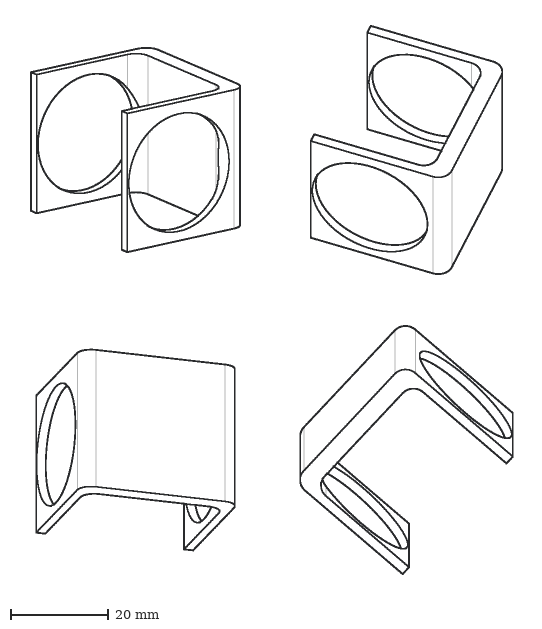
import cadquery as cq

width = 34.0
depth = 30.0
height = 30.0

side_wall = 2.0
back_wall = 4.0
corner_radius = 3.0

hole_diameter = 25.4
hole_from_front = 13.07
hole_from_bottom = 14.77


def block_with_round_back(block_width, block_depth):
    """Upright block from the open front (Y = 0), with its two rear edges rounded."""
    block = cq.Workplane("XY").box(block_width, block_depth, height, centered=(True, False, False))
    return block.edges("|Z and >Y").fillet(corner_radius)


def side_hole():
    """Cylinder along X that crosses both side walls."""
    return (
        cq.Workplane("YZ")
        .center(hole_from_front, hole_from_bottom)
        .circle(hole_diameter / 2)
        .extrude(width / 2, both=True)
    )


outer_block = block_with_round_back(width, depth)
channel = block_with_round_back(width - 2 * side_wall, depth - back_wall)

result = outer_block.cut(channel).cut(side_hole())